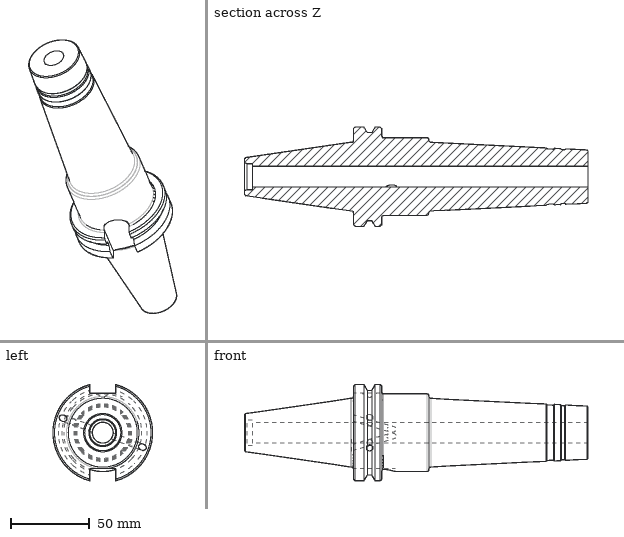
import cadquery as cq
import math

total_length = 218.2

taper_small_radius = 24.2 / 2
taper_slope = 7 / 48
taper_large_radius = 43.9 / 2
taper_length = (taper_large_radius - taper_small_radius) / taper_slope
taper_end_chamfer = 0.7

flange_radius = 63.5 / 2
flange_start = 69.2
flange_end = 87.3
flange_chamfer = 1.0
flange_root_fillet = 1.0
groove_center = 79.5
groove_floor_radius = 28.2
groove_floor_width = 2.8
groove_wall_angle = 30

collar_radius = 49.5 / 2
collar_end = 117.2
collar_fillet = 1.3

nose_start_radius = 43.9 / 2
nose_root_fillet = 1.3
nose_start = collar_end + nose_root_fillet
nose_end_radius = 17.0
nose_end_chamfer = 0.7
marking_groove_spans = [(191.6, 196.9), (200.8, 204.0)]
marking_groove_depth = 0.55
marking_groove_wall_run = 0.7

slot_width = 16.4
top_slot_floor = 25.0
bottom_slot_floor = 22.7
slot_runout_center = 87.5

dimple_diameter = 9.5
dimple_point_angle = 118
dimple_depth = dimple_diameter / 2 / math.tan(math.radians(dimple_point_angle / 2))

bore_diameter = 13.0
mouth_diameter = 17.7
mouth_cone_depth = 1.7
recess_diameter = 16.4
recess_depth = 5.0

coolant_diameter = 4.0
coolant_mouth_radius = 26.8
coolant_slant = 40
coolant_angle = 20
plug_diameter = 4.1


def nose_radius(x):
    share = (x - nose_start) / (total_length - nose_start)
    return nose_start_radius + share * (nose_end_radius - nose_start_radius)


def revolve_about_axis(outline):
    return outline.close().revolve(360, (0, 0, 0), (1, 0, 0))


def make_shank():
    """Taper, flange, collar and nose as one turned profile."""
    fillet = flange_root_fillet
    bend = math.sqrt(0.5)
    front_fillet_mid = (
        flange_start - fillet + fillet * bend,
        taper_large_radius + fillet - fillet * bend,
    )
    rear_fillet_mid = (
        flange_end + fillet - fillet * bend,
        collar_radius + fillet - fillet * bend,
    )
    collar_fillet_mid = (
        collar_end - collar_fillet + collar_fillet * bend,
        collar_radius - collar_fillet + collar_fillet * bend,
    )
    nose_fillet_mid = (
        nose_start - nose_root_fillet * bend,
        nose_start_radius + nose_root_fillet - nose_root_fillet * bend,
    )
    outline = (
        cq.Workplane("XY")
        .lineTo(0, taper_small_radius - taper_end_chamfer)
        .lineTo(taper_end_chamfer, taper_small_radius + taper_end_chamfer * taper_slope)
        .lineTo(taper_length, taper_large_radius)
        .lineTo(flange_start - fillet, taper_large_radius)
        .threePointArc(front_fillet_mid, (flange_start, taper_large_radius + fillet))
        .lineTo(flange_start, flange_radius - flange_chamfer)
        .lineTo(flange_start + flange_chamfer, flange_radius)
        .lineTo(flange_end - flange_chamfer, flange_radius)
        .lineTo(flange_end, flange_radius - flange_chamfer)
        .lineTo(flange_end, collar_radius + fillet)
        .threePointArc(rear_fillet_mid, (flange_end + fillet, collar_radius))
        .lineTo(collar_end - collar_fillet, collar_radius)
        .threePointArc(collar_fillet_mid, (collar_end, collar_radius - collar_fillet))
        .lineTo(collar_end, nose_start_radius + nose_root_fillet)
        .threePointArc(nose_fillet_mid, (nose_start, nose_start_radius))
        .lineTo(total_length - nose_end_chamfer, nose_radius(total_length - nose_end_chamfer))
        .lineTo(total_length, nose_end_radius - nose_end_chamfer)
        .lineTo(total_length, 0)
    )
    return revolve_about_axis(outline)


def make_gripper_groove():
    wall_run = (flange_radius - groove_floor_radius) * math.tan(math.radians(groove_wall_angle))
    floor_half = groove_floor_width / 2
    mouth_half = floor_half + wall_run
    outline = (
        cq.Workplane("XY")
        .moveTo(groove_center - mouth_half, flange_radius)
        .lineTo(groove_center - floor_half, groove_floor_radius)
        .lineTo(groove_center + floor_half, groove_floor_radius)
        .lineTo(groove_center + mouth_half, flange_radius)
    )
    return revolve_about_axis(outline)


def make_marking_groove(start, end):
    floor_start = start + marking_groove_wall_run
    floor_end = end - marking_groove_wall_run
    outline = (
        cq.Workplane("XY")
        .moveTo(start, nose_radius(start))
        .lineTo(floor_start, nose_radius(floor_start) - marking_groove_depth)
        .lineTo(floor_end, nose_radius(floor_end) - marking_groove_depth)
        .lineTo(end, nose_radius(end))
        .lineTo(end, nose_start_radius)
        .lineTo(start, nose_start_radius)
    )
    return revolve_about_axis(outline)


def make_drive_slot(floor, side):
    """Slot milled from the taper side, with a round end behind the flange."""
    half_width = slot_width / 2
    return (
        cq.Workplane("XY")
        .workplane(offset=side * floor)
        .moveTo(taper_length, -half_width)
        .lineTo(slot_runout_center, -half_width)
        .threePointArc((slot_runout_center + half_width, 0), (slot_runout_center, half_width))
        .lineTo(taper_length, half_width)
        .close()
        .extrude(side * flange_radius)
    )


def make_dimple():
    cone = cq.Solid.makeCone(
        dimple_diameter / 2, 0, dimple_depth,
        cq.Vector(groove_center, 0, top_slot_floor), cq.Vector(0, 0, -1),
    )
    return cq.Workplane(cone)


def make_bore():
    """Through bore with a recess at the taper end, opened by a shallow cone."""
    outline = (
        cq.Workplane("XY")
        .lineTo(0, mouth_diameter / 2)
        .lineTo(mouth_cone_depth, recess_diameter / 2)
        .lineTo(recess_depth, recess_diameter / 2)
        .lineTo(recess_depth, bore_diameter / 2)
        .lineTo(total_length, bore_diameter / 2)
        .lineTo(total_length, 0)
    )
    return revolve_about_axis(outline)


def make_coolant_channel(angle):
    """Slanted hole from the flange face to the bore, met by a radial plug hole in the V groove."""
    slant = math.radians(coolant_slant)
    outward = cq.Vector(0, math.cos(math.radians(angle)), math.sin(math.radians(angle)))
    along = cq.Vector(math.cos(slant), 0, 0) - outward * math.sin(slant)
    mouth = cq.Vector(flange_start, 0, 0) + outward * coolant_mouth_radius
    lead = coolant_diameter
    channel_length = coolant_mouth_radius / math.sin(slant)
    channel = cq.Solid.makeCylinder(
        coolant_diameter / 2, channel_length + lead, mouth - along * lead, along,
    )
    plug_bottom = coolant_mouth_radius - (groove_center - flange_start) * math.tan(slant)
    plug = cq.Solid.makeCylinder(
        plug_diameter / 2, groove_floor_radius + plug_diameter - plug_bottom,
        cq.Vector(groove_center, 0, 0) + outward * plug_bottom, outward,
    )
    return cq.Workplane(channel).union(cq.Workplane(plug))


result = make_shank().cut(make_gripper_groove())
for groove_start, groove_end in marking_groove_spans:
    result = result.cut(make_marking_groove(groove_start, groove_end))
result = result.cut(make_drive_slot(top_slot_floor, 1))
result = result.cut(make_drive_slot(bottom_slot_floor, -1))
result = result.cut(make_dimple()).cut(make_bore())
for channel_angle in (coolant_angle, coolant_angle + 180):
    result = result.cut(make_coolant_channel(channel_angle))